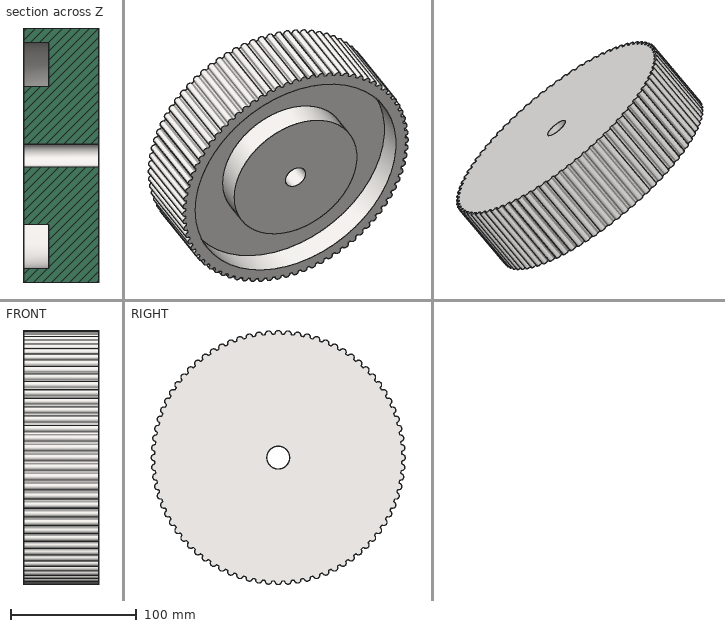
import cadquery as cq
import math

width = 60.0
bore_diameter = 18.0
hub_diameter = 110.0
recess_diameter = 180.0
recess_depth = 20.0

tooth_count = 80
tooth_pitch = 8.0
pitch_line_offset = 0.686
tooth_radius = 2.67
tooth_depth = 2.76
root_fillet_radius = 0.47

tip_radius = tooth_count * tooth_pitch / (2 * math.pi) - pitch_line_offset
root_radius = tip_radius - tooth_depth
tooth_step = 2 * math.pi / tooth_count
front_x = -width / 2


def polar(radius, angle):
    """Point in the YZ plane at a radius and angle about the pulley axis."""
    return (radius * math.cos(angle), radius * math.sin(angle))


def turned(point, angle, side=1):
    """Point turned about the pulley axis; side -1 mirrors it to the other flank first."""
    y, z = point
    return polar(math.hypot(y, z), angle + side * math.atan2(z, y))


def tooth_flank_points():
    """Upper flank of the tooth on the +Y axis: fillet start, fillet middle and fillet end."""
    tooth_centre = tip_radius - tooth_radius
    fillet_centre = root_radius + root_fillet_radius
    centre_distance = tooth_radius + root_fillet_radius

    cosine = (tooth_centre**2 + fillet_centre**2 - centre_distance**2) / (2 * tooth_centre * fillet_centre)
    root_angle = math.acos(cosine)
    fillet_y, fillet_z = polar(fillet_centre, root_angle)
    flank_angle = math.atan2(fillet_z, fillet_y - tooth_centre)

    tooth_y, tooth_z = polar(tooth_radius, flank_angle)
    fillet_start = (tooth_centre + tooth_y, tooth_z)
    middle_angle = math.pi + (flank_angle + root_angle) / 2
    middle_y, middle_z = polar(root_fillet_radius, middle_angle)
    fillet_middle = (fillet_y + middle_y, fillet_z + middle_z)
    fillet_end = polar(root_radius, root_angle)
    return fillet_start, fillet_middle, fillet_end


def make_toothed_blank():
    """Extrude the rim outline, one tooth and one root gap at a time."""
    start, middle, end = tooth_flank_points()
    outline = cq.Workplane("YZ", origin=(front_x, 0, 0)).moveTo(*turned(end, 0, -1))
    for tooth in range(tooth_count):
        angle = tooth * tooth_step
        outline = (
            outline.threePointArc(turned(middle, angle, -1), turned(start, angle, -1))
            .threePointArc(polar(tip_radius, angle), turned(start, angle))
            .threePointArc(turned(middle, angle), turned(end, angle))
            .threePointArc(polar(root_radius, angle + tooth_step / 2), turned(end, angle + tooth_step, -1))
        )
    return outline.close().extrude(width)


def make_recess():
    """Ring-shaped pocket between the hub and the rim on the -X face."""
    return (
        cq.Workplane("YZ", origin=(front_x, 0, 0))
        .circle(recess_diameter / 2)
        .circle(hub_diameter / 2)
        .extrude(recess_depth)
    )


def make_bore():
    """Shaft bore through the full width."""
    return cq.Workplane("YZ", origin=(front_x, 0, 0)).circle(bore_diameter / 2).extrude(width)


result = make_toothed_blank().cut(make_recess()).cut(make_bore())